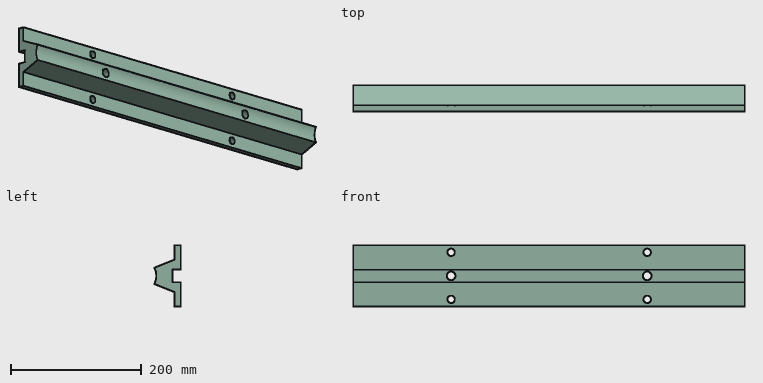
import cadquery as cq

length = 599.5
height = 94.0
depth = 40.73

flange_thickness = 9.75
slot_depth = 12.5
slot_height = 19.0
web_base_height = 50.0
web_tip_height = 25.0
cradle_depth = 3.0

first_hole_from_end = 150.0
hole_pitch_x = 300.0
flange_hole_pitch_z = 72.0
flange_hole_diameter = 11.0
web_hole_diameter = 13.0


def rail_body():
    """Flanged rail: slotted front face, tapered web and a concave cradle on the back."""
    half_height = height / 2
    half_base = web_base_height / 2
    half_tip = web_tip_height / 2
    half_slot = slot_height / 2
    return (
        cq.Workplane("YZ")
        .moveTo(0, half_slot)
        .lineTo(0, half_height)
        .lineTo(flange_thickness, half_height)
        .lineTo(flange_thickness, half_base)
        .lineTo(depth, half_tip)
        .threePointArc((depth - cradle_depth, 0), (depth, -half_tip))
        .lineTo(flange_thickness, -half_base)
        .lineTo(flange_thickness, -half_height)
        .lineTo(0, -half_height)
        .lineTo(0, -half_slot)
        .lineTo(slot_depth, -half_slot)
        .lineTo(slot_depth, half_slot)
        .close()
        .extrude(length / 2, both=True)
    )


def through_holes(diameter, heights):
    """Cylinders along Y at both bolt stations, one at each given height."""
    first_x = first_hole_from_end - length / 2
    centres = [(x, z) for x in (first_x, first_x + hole_pitch_x) for z in heights]
    return (
        cq.Workplane("XZ")
        .pushPoints(centres)
        .circle(diameter / 2)
        .extrude(-depth)
    )


half_flange_pitch = flange_hole_pitch_z / 2
flange_holes = through_holes(flange_hole_diameter, (-half_flange_pitch, half_flange_pitch))
web_holes = through_holes(web_hole_diameter, (0,))

result = rail_body().cut(flange_holes).cut(web_holes)